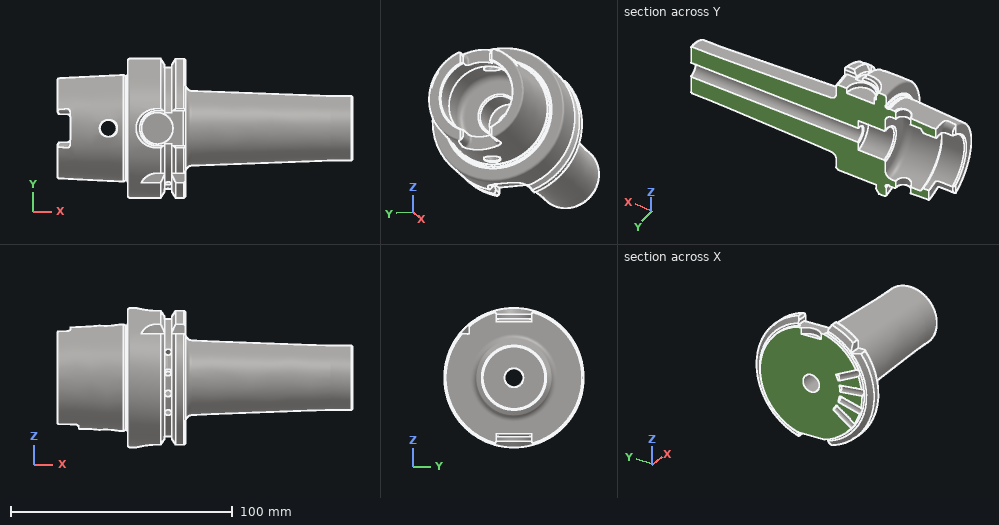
import cadquery as cq
import math


taper_end = 29.7
undercut_start = 30.5
undercut_end = 31.2
flange_face = 31.6
flange_end = 57.8
cone_start = 60.6
nose_start = 123.0
overall_length = 133.0

shank_gauge_radius = 24.1
taper_slope = 1 / 19.96
shank_end_radius = shank_gauge_radius - taper_end * taper_slope
shank_edge_radius = 0.9
undercut_radius = 23.7
face_relief_radius = 25.5
face_relief_depth = 0.3

flange_radius = 31.5
flange_front_edge_radius = 1.2
flange_back_chamfer = 0.8
groove_center = 49.9
groove_mouth_width = 6.8
groove_floor_width = 3.1
groove_floor_radius = 27.4
groove_flank_end_radius = 28.6

neck_radius = 16.9
neck_blend_radius = cone_start - flange_end
nose_radius = 14.6
nose_chamfer = 0.6

cavity_radius = 17.0
cavity_mouth_radius = 17.4
cavity_mouth_chamfer = 0.9
recess_start = 12.5
recess_radius = 19.2
recess_shoulder_angle = math.radians(60)
cavity_depth = 32.0
cavity_floor_flat_radius = 15.7
cavity_corner_radius = recess_radius - cavity_floor_flat_radius
thread_radius = 8.9
thread_mouth_radius = 9.6
thread_depth = 14.0
through_radius = 4.2
through_mouth_radius = 4.6

drive_half_width = 6.27
drive_flare_radius = 3.0
drive_flare_start = 18.1
drive_corner_radius = 1.4
drive_lead_width = 1.25
drive_lead_length = 0.65
drive_depth_top = 5.8
drive_depth_bottom = 9.5

radial_hole_x = 22.9
radial_hole_radius = 3.75
radial_hole_chamfer = 0.4

keyway_center = 45.0
keyway_floor = 26.5
keyway_half_width = 7.95
keyway_wall_height = 2.2
keyway_bevel_degrees = 30
keyway_end_chamfer = 1.2
pocket_radius = 7.1
pocket_depth = 3.0

notch_floor = 19.8
notch_wall = 20.2
notch_end_x = 44.9
notch_cutter_radius = 8.0

balance_hole_radius = 1.5
balance_hole_depth = 12.0
balance_hole_angles = (-35, -15, 5, 25)

clearance = 10.0


def revolve_about_x(outline):
    return outline.close().revolve(360, (0, 0, 0), (1, 0, 0))


def turned_body():
    """Outside of the holder before any cuts, with a shallow relief sunk into the flange face."""
    relief_floor = flange_face + face_relief_depth
    relief_inner_radius = undercut_radius + relief_floor - undercut_end
    outline = (
        cq.Workplane("XY")
        .lineTo(0, shank_end_radius)
        .lineTo(taper_end, shank_gauge_radius)
        .lineTo(undercut_start, undercut_radius)
        .lineTo(undercut_end, undercut_radius)
        .lineTo(relief_floor, relief_inner_radius)
        .lineTo(relief_floor, face_relief_radius - face_relief_depth)
        .lineTo(flange_face, face_relief_radius)
        .lineTo(flange_face, flange_radius - flange_front_edge_radius)
        .radiusArc((flange_face + flange_front_edge_radius, flange_radius), flange_front_edge_radius)
        .lineTo(flange_end - flange_back_chamfer, flange_radius)
        .lineTo(flange_end, flange_radius - flange_back_chamfer)
        .lineTo(flange_end, neck_radius + neck_blend_radius)
        .radiusArc((cone_start, neck_radius), -neck_blend_radius)
        .lineTo(nose_start, nose_radius)
        .lineTo(overall_length, nose_radius)
        .lineTo(overall_length, 0)
    )
    body = revolve_about_x(outline)
    body = body.faces("<X").edges().fillet(shank_edge_radius)
    return body.faces(">X").edges().chamfer(nose_chamfer)


def gripper_groove():
    """V-flanked groove with a narrow square-sided floor."""
    mouth = groove_mouth_width / 2
    floor = groove_floor_width / 2
    outline = (
        cq.Workplane("XY")
        .moveTo(groove_center - mouth, flange_radius)
        .lineTo(groove_center - floor, groove_flank_end_radius)
        .lineTo(groove_center - floor, groove_floor_radius)
        .lineTo(groove_center + floor, groove_floor_radius)
        .lineTo(groove_center + floor, groove_flank_end_radius)
        .lineTo(groove_center + mouth, flange_radius)
    )
    return revolve_about_x(outline)


def cavity():
    """Shank bore with its clamping recess, the threaded seat and the through hole."""
    recess_end = recess_start + (recess_radius - cavity_radius) / math.tan(recess_shoulder_angle)
    thread_end = cavity_depth + thread_depth
    thread_chamfer = thread_mouth_radius - thread_radius
    through_chamfer = through_mouth_radius - through_radius
    outline = (
        cq.Workplane("XY")
        .lineTo(0, cavity_mouth_radius)
        .lineTo(cavity_mouth_chamfer, cavity_radius)
        .lineTo(recess_start, cavity_radius)
        .lineTo(recess_end, recess_radius)
        .lineTo(cavity_depth - cavity_corner_radius, recess_radius)
        .radiusArc((cavity_depth, cavity_floor_flat_radius), cavity_corner_radius)
        .lineTo(cavity_depth, thread_mouth_radius)
        .lineTo(cavity_depth + thread_chamfer, thread_radius)
        .lineTo(thread_end, thread_radius)
        .lineTo(thread_end, through_mouth_radius)
        .lineTo(thread_end + through_chamfer, through_radius)
        .lineTo(overall_length, through_radius)
        .lineTo(overall_length, 0)
    )
    return revolve_about_x(outline)


def drive_slot(depth):
    """Slot through the shank wall on the +Z side, flared at its outer edges."""
    flare_half_width = drive_half_width + drive_flare_radius
    flare_end = drive_flare_start + drive_flare_radius
    slot_top = shank_gauge_radius + clearance
    profile = (
        cq.Workplane("YZ")
        .moveTo(-drive_half_width, 0)
        .lineTo(-drive_half_width, drive_flare_start)
        .radiusArc((-flare_half_width, flare_end), -drive_flare_radius)
        .lineTo(-flare_half_width, slot_top)
        .lineTo(flare_half_width, slot_top)
        .lineTo(flare_half_width, flare_end)
        .radiusArc((drive_half_width, drive_flare_start), -drive_flare_radius)
        .lineTo(drive_half_width, 0)
        .close()
    )
    slot = profile.extrude(depth)
    slot = slot.faces(">X").edges("%CIRCLE").fillet(drive_corner_radius)
    lead_half_width = drive_half_width + drive_lead_width
    lead_in = (
        cq.Workplane("XY")
        .moveTo(0, -lead_half_width)
        .lineTo(drive_lead_length, -drive_half_width)
        .lineTo(drive_lead_length, drive_half_width)
        .lineTo(0, lead_half_width)
        .close()
        .extrude(slot_top)
    )
    return slot.union(lead_in)


def radial_hole():
    """Hole across the whole shank along Z, with both mouths countersunk."""
    mouth_height = shank_gauge_radius - (taper_end - radial_hole_x) * taper_slope
    mouth_radius = radial_hole_radius + radial_hole_chamfer
    chamfer_height = mouth_height - radial_hole_chamfer
    return (
        cq.Workplane("XZ", origin=(radial_hole_x, 0, 0))
        .moveTo(0, -flange_radius)
        .lineTo(mouth_radius, -flange_radius)
        .lineTo(mouth_radius, -mouth_height)
        .lineTo(radial_hole_radius, -chamfer_height)
        .lineTo(radial_hole_radius, chamfer_height)
        .lineTo(mouth_radius, mouth_height)
        .lineTo(mouth_radius, flange_radius)
        .lineTo(0, flange_radius)
        .close()
        .revolve(360, (0, 0, 0), (0, 1, 0))
    )


def keyway_outline(height):
    """Keyway plan at the given height: a half-round end at keyway_center, open at the nose side."""
    slot_end = flange_end + clearance
    return (
        cq.Workplane("XY", origin=(0, 0, height))
        .moveTo(slot_end, -keyway_half_width)
        .lineTo(keyway_center, -keyway_half_width)
        .radiusArc((keyway_center, keyway_half_width), keyway_half_width)
        .lineTo(slot_end, keyway_half_width)
        .close()
    )


def keyway():
    """Round-ended keyway on the +Z side with upright walls, bevelled outward toward the rim."""
    walls = keyway_outline(keyway_floor).extrude(keyway_wall_height)
    bevel = keyway_outline(keyway_floor + keyway_wall_height).extrude(clearance, taper=-keyway_bevel_degrees)
    end_chamfer = (
        cq.Workplane("XZ")
        .moveTo(flange_end - keyway_end_chamfer, keyway_floor)
        .lineTo(flange_end, keyway_floor)
        .lineTo(flange_end, keyway_floor - keyway_end_chamfer)
        .close()
        .extrude(keyway_half_width, both=True)
    )
    return walls.union(bevel).union(end_chamfer)


def keyway_pocket():
    """Round blind pocket sunk into the floor of the +Z keyway."""
    return (
        cq.Workplane("XY", origin=(keyway_center, 0, keyway_floor - pocket_depth))
        .circle(pocket_radius)
        .extrude(pocket_depth)
    )


def orientation_notch():
    """Square-cornered notch in the rim at -Y, +Z, with its end rounded by the cutter."""
    cutter_y = -notch_wall - notch_cutter_radius
    return (
        cq.Workplane("XY", origin=(0, 0, notch_floor))
        .moveTo(flange_end, -notch_wall)
        .lineTo(notch_end_x, -notch_wall)
        .radiusArc((notch_end_x - notch_cutter_radius, cutter_y), -notch_cutter_radius)
        .lineTo(flange_end, cutter_y)
        .close()
        .extrude(clearance)
    )


def balance_hole(angle):
    """Radial blind hole in the groove floor, at an angle from -Y toward +Z."""
    hole_floor_radius = groove_floor_radius - balance_hole_depth
    direction = cq.Vector(0, -math.cos(math.radians(angle)), math.sin(math.radians(angle)))
    start = cq.Vector(groove_center, 0, 0) + direction * hole_floor_radius
    return cq.Workplane(
        cq.Solid.makeCylinder(balance_hole_radius, flange_radius - hole_floor_radius, start, direction)
    )


def build_holder():
    holder = turned_body()
    holder = holder.cut(gripper_groove())
    holder = holder.cut(cavity())
    holder = holder.cut(drive_slot(drive_depth_top))
    holder = holder.cut(drive_slot(drive_depth_bottom).mirror("XY"))
    holder = holder.cut(radial_hole())
    holder = holder.cut(keyway())
    holder = holder.cut(keyway().mirror("XY"))
    holder = holder.cut(keyway_pocket())
    holder = holder.cut(orientation_notch())
    for angle in balance_hole_angles:
        holder = holder.cut(balance_hole(angle))
    return holder


result = build_holder()